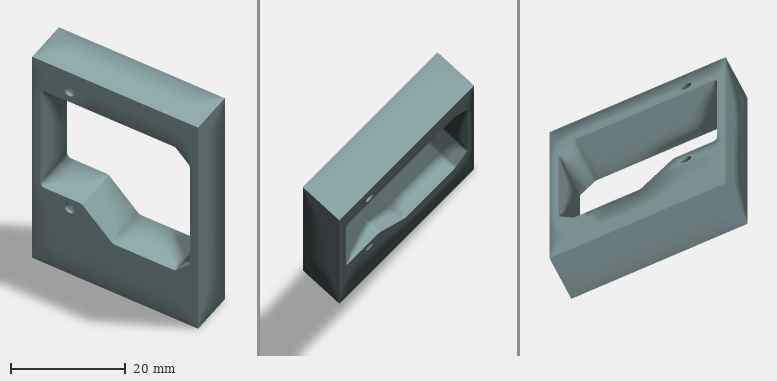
import cadquery as cq

PLATE_WIDTH = 34.0
PLATE_THICKNESS = 8.8
PLATE_HEIGHT = 48.2

SIDE_WALL = 1.7
TOP_WALL = 7.0
OPENING_HEIGHT = 29.6
SHALLOW_HEIGHT = 23.2
LEDGE_LENGTH = 8.4
CORNER_CUT = 3.0
CORNER_RADIUS = 0.8

HOLE_DIAMETER = 2.0
HOLE_FROM_LEFT = 7.7
HOLE_SPACING = 28.0
UPPER_HOLE_FROM_TOP = 4.6

LEFT = -PLATE_WIDTH / 2
TOP = PLATE_HEIGHT / 2


def make_plate():
    return cq.Workplane("XY").box(PLATE_WIDTH, PLATE_THICKNESS, PLATE_HEIGHT)


def make_opening():
    """Stepped opening with a 45 degree ramp from its ledge to its floor."""
    left = LEFT + SIDE_WALL
    right = -left
    top = TOP - TOP_WALL
    floor = top - OPENING_HEIGHT
    ledge = top - SHALLOW_HEIGHT
    ramp_start = left + LEDGE_LENGTH
    ramp_end = ramp_start + (ledge - floor)
    outline = [
        (left, top),
        (right - CORNER_CUT, top),
        (right, top - CORNER_CUT),
        (right, floor + CORNER_CUT),
        (right - CORNER_CUT, floor),
        (ramp_end, floor),
        (ramp_start, ledge),
        (left, ledge),
    ]
    prism = cq.Workplane("XZ").polyline(outline).close().extrude(PLATE_THICKNESS / 2, both=True)
    return prism.edges("|Y").fillet(CORNER_RADIUS)


def make_holes():
    x = LEFT + HOLE_FROM_LEFT
    upper_z = TOP - UPPER_HOLE_FROM_TOP
    centres = [(x, upper_z), (x, upper_z - HOLE_SPACING)]
    sketch = cq.Workplane("XZ").pushPoints(centres).circle(HOLE_DIAMETER / 2)
    return sketch.extrude(PLATE_THICKNESS / 2, both=True)


result = make_plate().cut(make_opening()).cut(make_holes())